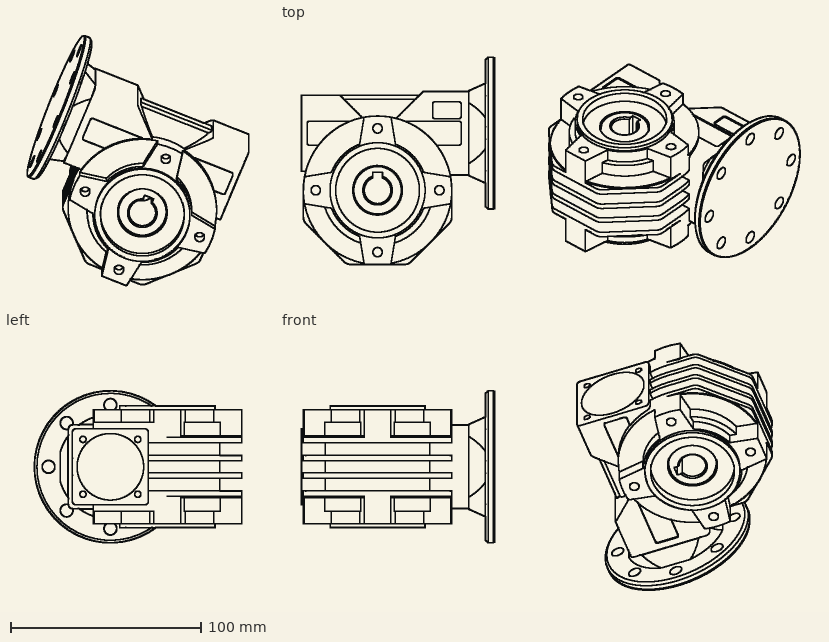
import cadquery as cq
import math


worm_axis_y = 30.0
blind_end_x = -40.0
blind_box_side = 40.0
input_box_end_x = 48.0
input_box_side = 44.0
box_edge_radius = 2.1
worm_tube_diameter = 37.0
web_thickness = 8.7
saddle_blind_x = -19.8
saddle_apex_x = 1.1

pocket_depth = 0.8
pocket_corner_radius = 1.2
long_pocket_x = (-37.0, 43.9)
long_pocket_width = 12.6
label_x = (28.9, 43.9)
label_y = (37.6, 46.4)

core_diameter = 54.9
plate_radius = 39.0
plate_top = 16.4
shoulder_diameter = 58.2
shoulder_top = 23.3
fin_thickness = 2.9
fin_levels = (4.6, 14.1)
fin_corner_radius = 5.0

hub_diameter = 50.0
hub_top = 31.9
neck_diameter = 52.0
hub_recess_diameter = 44.0
hub_recess_depth = 5.2
pad_top = 30.0
pad_count = 4
flat_pad_angle = 270
pad_inner_radius = 21.8
pad_inner_half_width = 9.8
pad_outer_half_width = 7.0
pad_hole_circle_radius = 32.5
pad_hole_diameter = 4.9
pad_hole_depth = 9.8

flange_diameter = 80.0
flange_start_x = 56.7
flange_end_x = 61.5
flange_chamfer = 1.4
flange_step_diameter = 79.4
flange_step_thickness = 0.7
flange_hole_circle_radius = 32.5
flange_hole_diameter = 6.5
flange_hole_count = 8
adapter_diameter = 54.9
adapter_start_side = 44.7
adapter_end_side = 52.5

cap_diameter = 35.0
cap_thickness = 5.5
cap_hole_offset = 14.4
cap_hole_diameter = 3.3
cap_hole_depth = 6.5
drill_point_angle = 118.0

shaft_diameter = 25.0
shaft_clearance_diameter = 26.0
shaft_clearance_depth = 2.2
shaft_rise = 0.5
shaft_edge_radius = 1.5
shaft_bore_diameter = 14.0
shaft_bore_chamfer = 0.8
keyway_width = 5.0
keyway_top_y = 9.4

hub_floor = hub_top - hub_recess_depth
blind_box_half = blind_box_side / 2
input_box_half = input_box_side / 2


def z_cylinder(diameter, bottom, top):
    return cq.Workplane("XY").workplane(offset=bottom).circle(diameter / 2).extrude(top - bottom)


def worm_cylinder(diameter, start_x, end_x):
    plane = cq.Workplane("YZ", origin=(start_x, worm_axis_y, 0))
    return plane.circle(diameter / 2).extrude(end_x - start_x)


def with_mirror(body):
    """The body together with its mirror image below the mid plane."""
    return body.union(body.mirror("XY"))


def worm_box(side, start_x, end_x):
    plane = cq.Workplane("YZ", origin=(start_x, worm_axis_y, 0))
    return plane.rect(side, side).extrude(end_x - start_x).edges("|X").fillet(box_edge_radius)


def box_pocket(x_range, y_range, wall_z):
    length = x_range[1] - x_range[0]
    width = y_range[1] - y_range[0]
    centre = ((x_range[0] + x_range[1]) / 2, (y_range[0] + y_range[1]) / 2, wall_z)
    block = cq.Workplane("XY", origin=centre).rect(length, width).extrude(-pocket_depth)
    return block.edges("|Z").fillet(pocket_corner_radius)


def saddle():
    """Wedge between the two boxes, with 45 degree sides, open towards +Y."""
    blind_wall_y = worm_axis_y + blind_box_half
    apex_y = blind_wall_y - (saddle_apex_x - saddle_blind_x)
    reach = 2 * blind_box_side
    wedge = cq.Workplane("XY").workplane(offset=-input_box_side).polyline([
        (saddle_apex_x, apex_y),
        (saddle_apex_x + reach, apex_y + reach),
        (saddle_apex_x - reach, apex_y + reach),
    ]).close()
    return wedge.extrude(2 * input_box_side)


def worm_housing():
    long_pocket_y = (worm_axis_y - long_pocket_width / 2, worm_axis_y + long_pocket_width / 2)
    blind_box = worm_box(blind_box_side, blind_end_x, saddle_apex_x)
    blind_box = blind_box.cut(with_mirror(box_pocket(long_pocket_x, long_pocket_y, blind_box_half)))
    input_box = worm_box(input_box_side, saddle_apex_x, input_box_end_x)
    input_box = input_box.cut(with_mirror(box_pocket(long_pocket_x, long_pocket_y, input_box_half)))
    input_box = input_box.cut(box_pocket(label_x, label_y, input_box_half))
    tube = worm_cylinder(worm_tube_diameter, blind_end_x, input_box_end_x)
    web = cq.Workplane("XY", origin=(saddle_apex_x, worm_axis_y + blind_box_half / 2, 0))
    web = web.box(blind_box_side, blind_box_half, web_thickness)
    return blind_box.union(input_box).cut(saddle()).union(tube).union(web)


def fin_plate(bottom, top):
    """Plate that is half round towards +Y and half a rounded octagon towards -Y."""
    corner_offset = plate_radius * math.tan(math.pi / 8)
    octagon_half = (
        cq.Workplane("XY").workplane(offset=bottom)
        .moveTo(plate_radius, 0)
        .lineTo(plate_radius, -corner_offset)
        .lineTo(corner_offset, -plate_radius)
        .lineTo(-corner_offset, -plate_radius)
        .lineTo(-plate_radius, -corner_offset)
        .lineTo(-plate_radius, 0)
        .threePointArc((0, plate_radius), (plate_radius, 0))
        .close()
        .extrude(top - bottom)
    )
    corners = cq.selectors.BoxSelector(
        (-2 * plate_radius, -2 * plate_radius, bottom),
        (2 * plate_radius, -corner_offset / 2, top),
    )
    return octagon_half.edges("|Z").edges(corners).fillet(fin_corner_radius)


def half_disc(bottom, top):
    """The +Y half of the round plate."""
    disc = cq.Workplane("XY").workplane(offset=bottom)
    disc = disc.moveTo(-plate_radius, 0).threePointArc((0, plate_radius), (plate_radius, 0)).close()
    return disc.extrude(top - bottom)


def mounting_pad(angle, bottom):
    """Tapered pad; the pad towards -Y ends flat and the others follow the plate."""
    pad = cq.Workplane("XY").workplane(offset=bottom).polyline([
        (pad_inner_radius, -pad_inner_half_width),
        (plate_radius, -pad_outer_half_width),
        (plate_radius, pad_outer_half_width),
        (pad_inner_radius, pad_inner_half_width),
    ]).close().extrude(pad_top - bottom)
    if angle != flat_pad_angle:
        pad = pad.intersect(z_cylinder(2 * plate_radius, bottom, pad_top))
    return pad.rotate((0, 0, 0), (0, 0, 1), angle)


def pad_screw_holes():
    circle_centre = cq.Workplane("XY").workplane(offset=pad_top)
    holes = circle_centre.polarArray(pad_hole_circle_radius, 0, 360, pad_count)
    return holes.circle(pad_hole_diameter / 2).extrude(-pad_hole_depth)


def hub_side():
    """Everything on the upper side of the gear housing: fins, plate, shoulder, pads and hub."""
    side = z_cylinder(core_diameter, 0, plate_top)
    for level in fin_levels:
        side = side.union(fin_plate(level - fin_thickness / 2, level + fin_thickness / 2))
    outer_fin_top = fin_levels[-1] + fin_thickness / 2
    side = side.union(z_cylinder(2 * plate_radius, outer_fin_top, plate_top))
    side = side.union(half_disc(outer_fin_top, shoulder_top))
    side = side.union(z_cylinder(shoulder_diameter, plate_top, shoulder_top))
    side = side.union(z_cylinder(neck_diameter, shoulder_top, pad_top))
    for index in range(pad_count):
        angle = index * 360 / pad_count
        side = side.union(mounting_pad(angle, outer_fin_top))
    return side.union(z_cylinder(hub_diameter, pad_top, hub_top)).cut(pad_screw_holes())


def flange():
    """Motor flange on a square adapter with flared flats and round corners."""
    flats = (
        cq.Workplane("YZ", origin=(input_box_end_x, worm_axis_y, 0))
        .rect(adapter_start_side, adapter_start_side)
        .workplane(offset=flange_start_x - input_box_end_x)
        .rect(adapter_end_side, adapter_end_side)
        .loft(ruled=True)
    )
    adapter = flats.intersect(worm_cylinder(adapter_diameter, input_box_end_x, flange_start_x))
    step_x = flange_end_x - flange_step_thickness
    disc = worm_cylinder(flange_diameter, flange_start_x, step_x).faces("<X").chamfer(flange_chamfer)
    disc = disc.union(worm_cylinder(flange_step_diameter, step_x, flange_end_x))
    holes = (
        cq.Workplane("YZ", origin=(flange_start_x, worm_axis_y, 0))
        .polarArray(flange_hole_circle_radius, 0, 360, flange_hole_count)
        .circle(flange_hole_diameter / 2)
        .extrude(flange_end_x - flange_start_x)
    )
    return adapter.union(disc.cut(holes))


def cap_screw_holes():
    """Four blind holes with conical drill points."""
    radius = cap_hole_diameter / 2
    point_length = radius / math.tan(math.radians(drill_point_angle / 2))
    drill = cq.Workplane("XY").polyline([
        (0, 0),
        (0, radius),
        (cap_hole_depth, radius),
        (cap_hole_depth + point_length, 0),
    ]).close().revolve(360, (0, 0, 0), (1, 0, 0))
    holes = cq.Workplane("XY")
    for y_side in (-1, 1):
        for z_side in (-1, 1):
            place = (blind_end_x, worm_axis_y + y_side * cap_hole_offset, z_side * cap_hole_offset)
            holes = holes.add(drill.translate(place))
    return holes.combine()


def shaft_opening():
    """Recess in the hub face, clearance ring around the shaft end, and the shaft seat."""
    opening = z_cylinder(hub_recess_diameter, hub_floor, hub_top)
    ring_bottom = hub_floor - shaft_clearance_depth
    opening = opening.union(z_cylinder(shaft_clearance_diameter, ring_bottom, hub_floor))
    return opening.union(z_cylinder(shaft_diameter, 0, hub_floor))


def build_end_cap():
    return worm_cylinder(cap_diameter, blind_end_x, blind_end_x + cap_thickness)


def build_housing():
    body = worm_housing().union(with_mirror(hub_side())).union(flange())
    return body.cut(with_mirror(shaft_opening())).cut(cap_screw_holes()).cut(build_end_cap())


def build_output_shaft():
    end = hub_floor + shaft_rise
    shaft = z_cylinder(shaft_diameter, -end, end).faces("<Z or >Z").edges().fillet(shaft_edge_radius)
    bore = z_cylinder(shaft_bore_diameter, -end, end)
    bore_edges = cq.selectors.RadiusNthSelector(0)
    shaft = shaft.cut(bore).faces("<Z or >Z").edges(bore_edges).chamfer(shaft_bore_chamfer)
    keyway = cq.Workplane("XY").box(keyway_width, keyway_top_y, 2 * end, centered=(True, False, True))
    return shaft.cut(keyway)


housing = build_housing()
output_shaft = build_output_shaft()
end_cap = build_end_cap()

result = cq.Compound.makeCompound([housing.val(), output_shaft.val(), end_cap.val()])